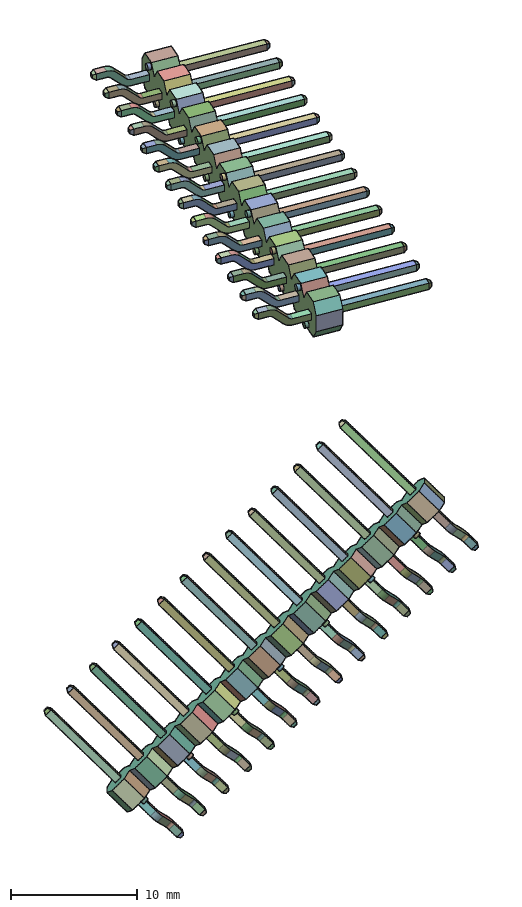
import cadquery as cq
import math

pin_count = 14
strip_length = 35.55
pitch = strip_length / pin_count

body_height = 3.55
body_depth = 2.28
segment_flat_width = 1.35
notch_gap = 1.6

pin_size = 0.65
back_reach = 8.07
front_reach = 4.85
bend_start = 1.6
bend_radius = 0.8
bend_angle = 46.0
tip_length = 0.3
tip_inset = 0.15

standoff_diameter = 0.57
standoff_length = 0.32
standoff_offset_x = 0.45
standoff_offset_z = 1.28

back_face_y = body_depth / 2
front_face_y = -body_depth / 2
pin_positions = [(i - (pin_count - 1) / 2) * pitch for i in range(pin_count)]


def make_segment(x):
    """One octagonal prism of the body, centred on a pin."""
    outline = [
        (x - pitch / 2, notch_gap / 2),
        (x - segment_flat_width / 2, body_height / 2),
        (x + segment_flat_width / 2, body_height / 2),
        (x + pitch / 2, notch_gap / 2),
        (x + pitch / 2, -notch_gap / 2),
        (x + segment_flat_width / 2, -body_height / 2),
        (x - segment_flat_width / 2, -body_height / 2),
        (x - pitch / 2, -notch_gap / 2),
    ]
    return cq.Workplane("XZ").polyline(outline).close().extrude(body_depth / 2, both=True)


def make_tip(y, z, direction):
    """Tapered pin end that starts at (0, y, z) and points along Y in the given direction."""
    plane = cq.Plane(origin=(0, y, z), xDir=(1, 0, 0), normal=(0, direction, 0))
    taper = math.degrees(math.atan2(tip_inset, tip_length))
    return cq.Workplane(plane).rect(pin_size, pin_size).extrude(tip_length, taper=taper)


def make_pin():
    """Pin at X = 0: straight at the back, stepped up at the front until flush with the body top."""
    back_y = back_face_y + back_reach - tip_length
    front_y = front_face_y - front_reach + tip_length
    raised_z = body_height / 2 - pin_size / 2

    angle = math.radians(bend_angle)
    bend_run = bend_radius * math.sin(angle)
    bend_rise = bend_radius * (1 - math.cos(angle))
    slope_rise = raised_z - 2 * bend_rise
    slope_run = slope_rise / math.tan(angle)

    lower_start_y = front_face_y - bend_start
    lower_end_y = lower_start_y - bend_run
    upper_start_y = lower_end_y - slope_run
    upper_end_y = upper_start_y - bend_run

    centre_line = (
        cq.Workplane("YZ")
        .moveTo(back_y, 0)
        .lineTo(lower_start_y, 0)
        .tangentArcPoint((lower_end_y, bend_rise), relative=False)
        .lineTo(upper_start_y, raised_z - bend_rise)
        .tangentArcPoint((upper_end_y, raised_z), relative=False)
        .lineTo(front_y, raised_z)
    )
    wire = cq.Workplane("XZ", origin=(0, back_y, 0)).rect(pin_size, pin_size).sweep(centre_line)
    return wire.union(make_tip(back_y, 0, 1)).union(make_tip(front_y, raised_z, -1))


def make_standoff(x, z):
    """Short round peg on the front face."""
    return (
        cq.Workplane("XZ", origin=(x, front_face_y, z))
        .circle(standoff_diameter / 2)
        .extrude(standoff_length)
    )


pin = make_pin()
result = cq.Workplane("XY")
for index, pin_x in enumerate(pin_positions):
    side = 1 if index % 2 == 0 else -1
    result = result.union(make_segment(pin_x))
    result = result.union(pin.translate((pin_x, 0, 0)))
    result = result.union(make_standoff(pin_x + side * standoff_offset_x, side * standoff_offset_z))
result = result.clean()